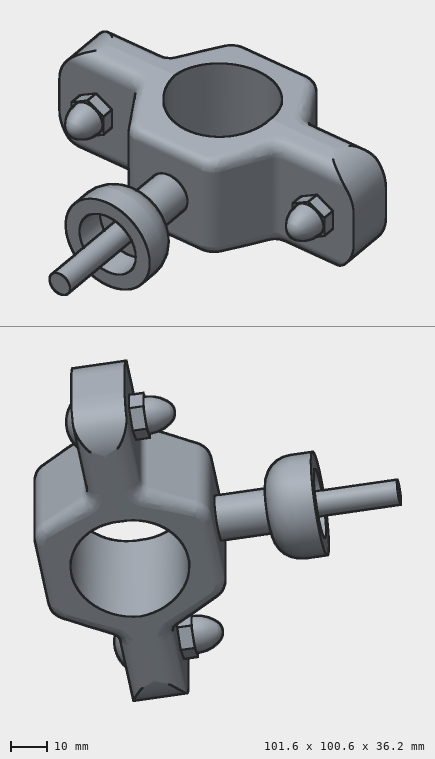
import cadquery as cq
import math

length = 101.6
ridge_height = 18.1
edge_height = 16.2
shoulder_height = 13.2
hex_apothem = 24.9
arm_half_width = 7.5
bore_diameter = 32.9
outer_corner_radius = 6.1
inner_corner_radius = 3.0
end_corner_radius = 12.7

bolt_x = 38.1
nut_across_flats = 11.0
nut_height = 4.0
collar_height = 0.5
acorn_radius = 5.2
acorn_side_radius = 8.9
acorn_tip_radius = 3.6
head_radius = 7.4
head_height = 3.6

stem_diameter = 12.7
cup_start = 39.1
cup_length = 14.3
cup_diameter = 29.1
cup_rounding = 8.1
cup_bore_diameter = 19.4
cup_bore_depth = 9.5
rod_diameter = 7.1
rod_end = 75.7

slant_angle = math.radians(60)
hex_corner_x = hex_apothem / math.tan(slant_angle)
arm_root_x = hex_corner_x + (hex_apothem - arm_half_width) / math.tan(slant_angle)
roof_slope = (ridge_height - edge_height) / hex_apothem


def make_plan():
    """Straight-walled half of the clamp on the -Y side, with its upright corners rounded."""
    plan = (
        cq.Workplane("XY")
        .moveTo(-length / 2, 0)
        .lineTo(-length / 2, -arm_half_width)
        .lineTo(-arm_root_x, -arm_half_width)
        .lineTo(-hex_corner_x, -hex_apothem)
        .lineTo(hex_corner_x, -hex_apothem)
        .lineTo(arm_root_x, -arm_half_width)
        .lineTo(length / 2, -arm_half_width)
        .lineTo(length / 2, 0)
        .close()
        .extrude(ridge_height, both=True)
    )
    for side in (-1, 1):
        outer_corner = cq.NearestToPointSelector((side * hex_corner_x, -hex_apothem, 0))
        plan = plan.edges("|Z").edges(outer_corner).fillet(outer_corner_radius)
        inner_corner = cq.NearestToPointSelector((side * arm_root_x, -arm_half_width, 0))
        plan = plan.edges("|Z").edges(inner_corner).fillet(inner_corner_radius)
    return plan


def make_wedge():
    """Envelope whose top and bottom close in from the ridge towards -Y."""
    return (
        cq.Workplane("YZ")
        .moveTo(0, ridge_height)
        .lineTo(-hex_apothem, edge_height)
        .lineTo(-hex_apothem, -edge_height)
        .lineTo(0, -ridge_height)
        .close()
        .extrude(length / 2, both=True)
    )


def rim_radius(vertex):
    """Fillet radius at a rim vertex that touches the wall at the shoulder height."""
    on_slant = hex_corner_x < abs(vertex.X) < arm_root_x
    wall_angle = slant_angle if on_slant else 0
    roof_tilt = math.atan(roof_slope * math.cos(wall_angle))
    return (abs(vertex.Z) - shoulder_height) / math.tan((math.pi / 2 - roof_tilt) / 2)


def round_rims(half):
    """Round the top and bottom rims with a radius that shrinks as the clamp gets lower."""
    rounding = cq.occ_impl.shapes.BRepFilletAPI_MakeFillet(half.val().wrapped)
    for rim_z in (edge_height, -edge_height):
        front_edge = half.edges(cq.NearestToPointSelector((0, -hex_apothem, rim_z))).val()
        rounding.Add(front_edge.wrapped)
        rim = rounding.NbContours()
        for index in range(1, rounding.NbEdges(rim) + 1):
            for vertex in cq.Edge(rounding.Edge(rim, index)).Vertices():
                rounding.SetRadius(rim_radius(vertex), rim, vertex.wrapped)
    return cq.Workplane(cq.Shape.cast(rounding.Shape()))


def make_clamp():
    half = round_rims(make_plan().intersect(make_wedge()))
    both_halves = half.union(half.mirror("XZ"))
    rounded_ends = (
        cq.Workplane("XZ")
        .rect(length, 2 * ridge_height)
        .extrude(hex_apothem, both=True)
        .edges("|Y")
        .fillet(end_corner_radius)
    )
    bore = cq.Workplane("XY").circle(bore_diameter / 2).extrude(ridge_height, both=True)
    return both_halves.intersect(rounded_ends).cut(bore)


def make_nut():
    """Hexagon nut with an acorn cap on the -Y face of an arm, centred on X = 0."""
    nut = (
        cq.Workplane("XZ", origin=(0, -arm_half_width, 0))
        .polygon(6, nut_across_flats, circumscribed=True)
        .extrude(nut_height)
    )
    flank_inset = acorn_side_radius - acorn_radius
    turn = math.acos(flank_inset / (acorn_side_radius - acorn_tip_radius))
    collar_y = -arm_half_width - nut_height
    acorn_y = collar_y - collar_height
    join_x = acorn_tip_radius * math.cos(turn)
    join_y = acorn_y - acorn_side_radius * math.sin(turn)
    tip_y = join_y - acorn_tip_radius * (1 - math.sin(turn))
    acorn = (
        cq.Workplane("XY")
        .moveTo(0, collar_y)
        .lineTo(acorn_radius, collar_y)
        .lineTo(acorn_radius, acorn_y)
        .tangentArcPoint((join_x, join_y), relative=False)
        .tangentArcPoint((0, tip_y), relative=False)
        .close()
        .revolve(360, (0, 0), (0, 1))
    )
    return nut.union(acorn)


def make_head():
    """Domed bolt head on the +Y face of an arm, centred on X = 0."""
    dome_radius = (head_radius**2 + head_height**2) / (2 * head_height)
    return (
        cq.Workplane("XY")
        .moveTo(0, arm_half_width)
        .lineTo(head_radius, arm_half_width)
        .radiusArc((0, arm_half_width + head_height), -dome_radius)
        .close()
        .revolve(360, (0, 0), (0, 1))
    )


def make_cup():
    """Cup with a rounded back, hollowed from its open -Y end."""
    cup = (
        cq.Workplane("XZ", origin=(0, -cup_start, 0))
        .circle(cup_diameter / 2)
        .extrude(cup_length)
        .edges(">Y")
        .fillet(cup_rounding)
    )
    return cup.faces("<Y").workplane().hole(cup_bore_diameter, cup_bore_depth)


def make_round_bar(diameter, start, end):
    """Round bar along -Y between two distances from the bore axis."""
    return cq.Workplane("XZ", origin=(0, -start, 0)).circle(diameter / 2).extrude(end - start)


cup_floor = cup_start + cup_length - cup_bore_depth

result = make_clamp()
for side in (-1, 1):
    result = result.union(make_nut().translate((side * bolt_x, 0, 0)))
    result = result.union(make_head().translate((side * bolt_x, 0, 0)))
result = result.union(make_round_bar(stem_diameter, hex_apothem, cup_start))
result = result.union(make_cup())
result = result.union(make_round_bar(rod_diameter, cup_floor, rod_end))